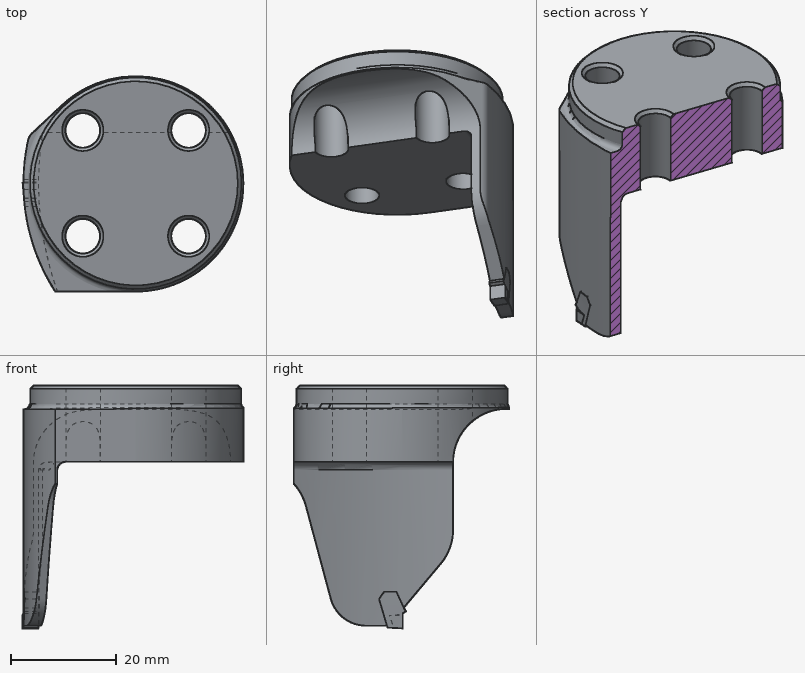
import cadquery as cq
import math

ring_radius = 20.0
ring_bottom = -3.5
ring_chamfer = 0.7
flare_radius = 1.0
shoulder_z = ring_bottom - flare_radius
head_front_y = -20.5
head_back_y = 20.28
head_radius = (head_back_y - head_front_y) / 2
head_center_y = (head_back_y + head_front_y) / 2
flank_corner_radius = 2.3
flank_angle = 46.8
head_bottom = -14.5

bolt_spacing = 20.0
bolt_diameter = 6.5
bolt_mouth_diameter = 7.8
mouth_taper = 45.0

tip_outer_x = -21.41
tip_width = 3.0
tip_relief = 0.15
tip_top = -43.5
tip_bottom = -46.0
tip_edge_y = 0.15
heel_y = -2.75
heel_bottom = -45.85
seat_top_z = -39.0
seat_back_y = -1.1
seat_front_y = -3.35
seat_corner = (-4.36, -40.4)
nose_root_z = -43.15
nose = (0.75, -42.75)
seat_mouth = (0.32, -42.08)
tip_relief_top_y = -2.43
tip_relief_bottom_y = -1.6

blade_outer_x = tip_outer_x + tip_relief
blade_inner_x = tip_outer_x + tip_width
outer_face_radius = 37.75
inner_face_radius = 60.0
blade_bottom = -45.5
root_fillet = 1.5

blade_back_y = 9.67
cove_radius = 10.0
back_corner_z = -30.94
back_slope_angle = 40.0
back_corner_radius = 10.0

front_slope_angle = 15.0
front_toe_y = -12.13
front_toe_radius = 7.0
hollow_radius = 10.0
hollow_bottom_z = -22.76

reach = 30.0


def tan_deg(angle):
    return math.tan(math.radians(angle))


def cylinder(x, y, radius, z_low, z_high):
    return cq.Workplane("XY", origin=(x, y, z_low)).circle(radius).extrude(z_high - z_low)


def outer_face_cylinder(z_low, z_high):
    return cylinder(blade_outer_x + outer_face_radius, 0, outer_face_radius, z_low, z_high)


def inner_face_cylinder(z_low, z_high):
    return cylinder(blade_inner_x + inner_face_radius, 0, inner_face_radius, z_low, z_high)


def side_prism(profile, x_low, x_high):
    """Extrude a closed list of (y, z) points along X."""
    return cq.Workplane("YZ", origin=(x_low, 0, 0)).polyline(profile).close().extrude(x_high - x_low)


def round_edge_along_x(body, y, z, radius):
    edge = cq.selectors.NearestToPointSelector((0, y, z))
    return body.edges("|X").edges(edge).fillet(radius)


def outline_prism(z_low, z_high):
    """Plan outline: round head, flat front, sloping back flank and curved outer wall."""
    angle = math.radians(flank_angle)
    touch_x = -head_radius * math.cos(angle)
    touch_y = head_center_y + head_radius * math.sin(angle)
    flank_end_y = touch_y - (reach + touch_x) / math.tan(angle)
    corner = (
        cq.Workplane("XY", origin=(0, 0, z_low))
        .moveTo(0, 0)
        .lineTo(touch_x, touch_y)
        .lineTo(-reach, flank_end_y)
        .lineTo(-reach, head_front_y)
        .lineTo(0, head_front_y)
        .close()
        .extrude(z_high - z_low)
    )
    corner = corner.intersect(outer_face_cylinder(z_low, z_high))
    flank_corner = cq.selectors.NearestToPointSelector((blade_outer_x, blade_back_y, (z_low + z_high) / 2))
    corner = corner.edges("|Z").edges(flank_corner).fillet(flank_corner_radius)
    return cylinder(0, head_center_y, head_radius, z_low, z_high).union(corner)


def make_cap():
    """Chamfered ring with a concave flare that ends on the shoulder, trimmed to the outline."""
    flare_end = ring_radius + flare_radius
    swing = flare_radius * math.sqrt(0.5)
    ring = (
        cq.Workplane("XZ")
        .lineTo(ring_radius - ring_chamfer, 0)
        .lineTo(ring_radius, -ring_chamfer)
        .lineTo(ring_radius, ring_bottom)
        .threePointArc((flare_end - swing, ring_bottom - swing), (flare_end, shoulder_z))
        .lineTo(0, shoulder_z)
        .close()
        .revolve(360, (0, 0, 0), (0, 1, 0))
    )
    return ring.intersect(outline_prism(shoulder_z, 0))


def make_front_trim():
    """Material removed in front of the blade: hollow, front slope and rounded toe."""
    angle = math.radians(front_slope_angle)
    slope_y = front_toe_y - (hollow_bottom_z - blade_bottom) * math.tan(angle)
    center_y = slope_y - hollow_radius * math.cos(angle)
    center_z = hollow_bottom_z - hollow_radius * math.sin(angle)
    end_angle = math.acos((head_front_y - center_y) / hollow_radius)

    def hollow_point(turn):
        return (center_y + hollow_radius * math.cos(turn), center_z + hollow_radius * math.sin(turn))

    trim = (
        cq.Workplane("YZ", origin=(-reach, 0, 0))
        .moveTo(0, blade_bottom)
        .lineTo(front_toe_y, blade_bottom)
        .lineTo(slope_y, hollow_bottom_z)
        .threePointArc(hollow_point((angle + end_angle) / 2), hollow_point(end_angle))
        .lineTo(-reach, hollow_point(end_angle)[1])
        .lineTo(-reach, tip_bottom)
        .lineTo(0, tip_bottom)
        .close()
        .extrude(2 * reach)
    )
    return round_edge_along_x(trim, front_toe_y, blade_bottom, front_toe_radius)


def make_back_trim():
    """Material removed behind the blade: cove under the shoulder, back edge and back slope."""
    toe_y = blade_back_y - (back_corner_z - blade_bottom) * tan_deg(back_slope_angle)
    cove_y = blade_back_y + cove_radius
    cove_z = shoulder_z - cove_radius
    swing = cove_radius * math.sqrt(0.5)
    trim = (
        cq.Workplane("YZ", origin=(-reach, 0, 0))
        .moveTo(reach, shoulder_z)
        .lineTo(cove_y, shoulder_z)
        .threePointArc((cove_y - swing, cove_z + swing), (blade_back_y, cove_z))
        .lineTo(blade_back_y, back_corner_z)
        .lineTo(toe_y, blade_bottom)
        .lineTo(reach, blade_bottom)
        .close()
        .extrude(2 * reach)
    )
    return round_edge_along_x(trim, blade_back_y, back_corner_z, back_corner_radius)


def make_head_and_blade():
    head = outline_prism(head_bottom, shoulder_z)
    wall = outline_prism(blade_bottom, head_bottom).cut(inner_face_cylinder(blade_bottom, head_bottom))
    root_edge = cq.selectors.NearestToPointSelector((blade_inner_x, 0, head_bottom))
    body = head.union(wall).edges(root_edge).fillet(root_fillet)
    return body.cut(make_front_trim()).cut(make_back_trim())


def make_bolt_holes():
    mouth_depth = (bolt_mouth_diameter - bolt_diameter) / 2 / tan_deg(mouth_taper)
    holes = (
        cq.Workplane("XY", origin=(0, 0, head_bottom))
        .rect(bolt_spacing, bolt_spacing, forConstruction=True)
        .vertices()
        .circle(bolt_diameter / 2)
        .extrude(-head_bottom)
    )
    mouths = (
        cq.Workplane("XY")
        .rect(bolt_spacing, bolt_spacing, forConstruction=True)
        .vertices()
        .circle(bolt_mouth_diameter / 2)
        .extrude(-mouth_depth, taper=mouth_taper)
    )
    return holes.union(mouths)


def make_insert():
    """Insert flush with both wall faces, with a raised tip face that fades out toward the heel."""
    profile = [
        (seat_back_y, seat_top_z),
        (seat_front_y, seat_top_z),
        seat_corner,
        (heel_y, heel_bottom),
        (tip_edge_y, tip_bottom),
        (tip_edge_y, nose_root_z),
        nose,
        seat_mouth,
    ]
    body = side_prism(profile, -reach, 0).intersect(outer_face_cylinder(tip_bottom, seat_top_z))
    body = body.cut(inner_face_cylinder(tip_bottom, seat_top_z))

    tip_face = side_prism(
        [
            (tip_edge_y, nose_root_z),
            (tip_relief_top_y, nose_root_z),
            (tip_relief_top_y, tip_top),
            (tip_relief_bottom_y, heel_bottom),
            (tip_edge_y, tip_bottom),
        ],
        tip_outer_x,
        tip_outer_x + tip_width / 2,
    )
    face_end_x = blade_outer_x + outer_face_radius - math.sqrt(outer_face_radius**2 - tip_relief_top_y**2)
    faded = (
        cq.Workplane("XY", origin=(0, 0, tip_bottom))
        .moveTo(tip_outer_x, tip_edge_y)
        .lineTo(face_end_x, tip_relief_top_y)
        .lineTo(blade_inner_x, tip_relief_top_y)
        .lineTo(blade_inner_x, tip_edge_y)
        .close()
        .extrude(nose_root_z - tip_bottom)
    )
    ledge_edge = cq.selectors.NearestToPointSelector((tip_outer_x, tip_relief_top_y / 2, nose_root_z))
    faded = faded.edges(ledge_edge).chamfer(nose_root_z - tip_top, tip_relief)
    return body.union(tip_face.intersect(faded))


insert = make_insert()
holder = make_cap().union(make_head_and_blade()).cut(make_bolt_holes()).cut(insert)

result = cq.Compound.makeCompound([holder.val(), insert.val()])